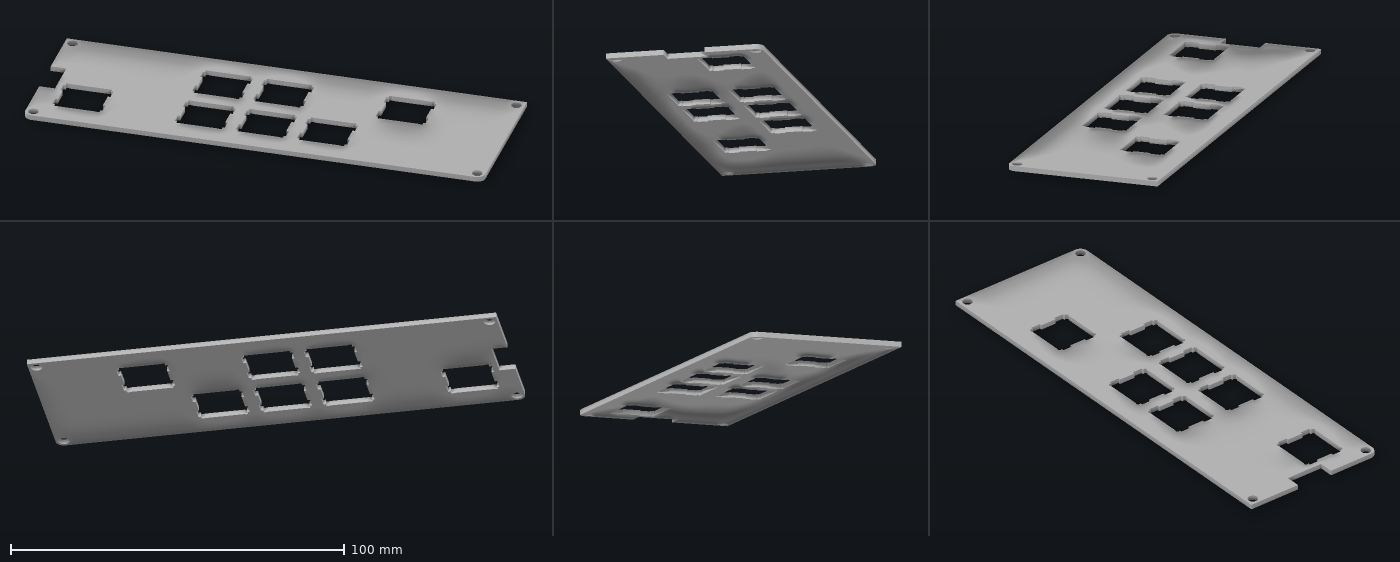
import cadquery as cq
import math

length = 143.5
width = 48.2
thickness = 1.6
mount_inset = 2.51
mount_diameter = 3.3
front_corner_radius = mount_inset

notch_depth = 4.9
notch_width = 12.6

key_pitch = 19.1
key_layout = [
    "--OO-O-",
    "O-OOO--",
]

opening_size = 14.0
relief_span = 15.6
relief_start = 2.7
relief_end = 6.0
corner_relief_diameter = 1.3
corner_relief_inset = corner_relief_diameter / 2 * math.sqrt(0.5)
corner_relief_spacing = opening_size - 2 * corner_relief_inset


def make_plate():
    plate = cq.Workplane("XY").box(length, width, thickness, centered=(True, True, False))
    return plate.edges("|Z and <Y").fillet(front_corner_radius)


def make_edge_notch():
    notch = cq.Workplane("XY").box(2 * notch_depth, notch_width, thickness, centered=(True, True, False))
    return notch.translate((-length / 2, 0, 0))


def make_mounting_holes():
    return (
        cq.Workplane("XY")
        .rect(length - 2 * mount_inset, width - 2 * mount_inset, forConstruction=True)
        .vertices()
        .circle(mount_diameter / 2)
        .extrude(thickness)
    )


def make_key_opening():
    square = cq.Workplane("XY").rect(opening_size, opening_size).extrude(thickness)
    relief_middle = (relief_start + relief_end) / 2
    side_reliefs = (
        cq.Workplane("XY")
        .pushPoints([(0, -relief_middle), (0, relief_middle)])
        .rect(relief_span, relief_end - relief_start)
        .extrude(thickness)
    )
    corner_reliefs = (
        cq.Workplane("XY")
        .rect(corner_relief_spacing, corner_relief_spacing, forConstruction=True)
        .vertices()
        .circle(corner_relief_diameter / 2)
        .extrude(thickness)
    )
    return square.union(side_reliefs).union(corner_reliefs)


def key_centre(row, column):
    x = (column - (len(key_layout[0]) - 1) / 2) * key_pitch
    y = ((len(key_layout) - 1) / 2 - row) * key_pitch
    return (x, y, 0)


result = make_plate().cut(make_edge_notch()).cut(make_mounting_holes())

key_opening = make_key_opening()
for row, positions in enumerate(key_layout):
    for column, kind in enumerate(positions):
        if kind == "O":
            result = result.cut(key_opening.translate(key_centre(row, column)))